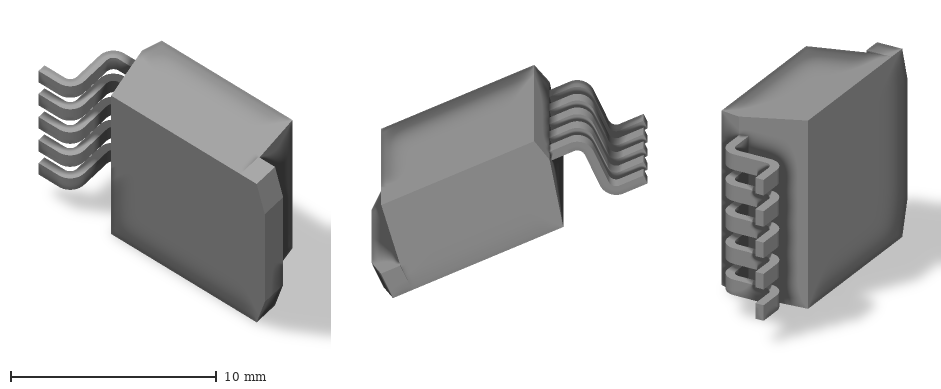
import cadquery as cq


total_length = 14.05
total_depth = 4.66
total_height = 10.21

lead_count = 5
lead_pitch = 1.7
lead_width = 0.85
lead_thickness = 0.46
bend_inner_radius = 0.41
bend_outer_radius = bend_inner_radius + lead_thickness
foot_length = 1.28
lead_top_y = 3.5

housing_front_y = 0.1
parting_x = 3.64
front_edge_x = 4.45
back_edge_x = 3.93
back_end_x = 12.1
housing_end_x = 12.52
back_height = 9.45

tab_thickness = 1.42
tab_back_y = housing_front_y + tab_thickness
pad_start_x = 6.35
pad_height = 7.65
neck_start_x = 10.99
neck_height = 6.48
tab_corner_x = 13.55
tab_end_height = neck_height


def make_tab():
    """Flat plate: a pad under the housing, a narrower neck and a wide end with cut corners."""
    upper_outline = [
        (pad_start_x, pad_height / 2),
        (neck_start_x, pad_height / 2),
        (neck_start_x, neck_height / 2),
        (housing_end_x, neck_height / 2),
        (housing_end_x, total_height / 2),
        (tab_corner_x, total_height / 2),
        (total_length, tab_end_height / 2),
    ]
    lower_outline = [(x, -z) for x, z in reversed(upper_outline)]
    return (
        cq.Workplane("XZ", origin=(0, housing_front_y, 0))
        .polyline(upper_outline + lower_outline)
        .close()
        .extrude(-tab_thickness)
    )


def make_housing_block():
    """Housing without the tab recess: a side profile with its two Z sides tapered."""
    side_profile = [
        (front_edge_x, housing_front_y),
        (housing_end_x, housing_front_y),
        (housing_end_x, tab_back_y),
        (back_end_x, total_depth),
        (back_edge_x, total_depth),
        (parting_x, lead_top_y),
    ]
    taper_profile = [
        (housing_front_y, -total_height / 2),
        (total_depth, -back_height / 2),
        (total_depth, back_height / 2),
        (housing_front_y, total_height / 2),
    ]
    block = cq.Workplane("XY").polyline(side_profile).close().extrude(total_height / 2, both=True)
    taper = cq.Workplane("YZ").polyline(taper_profile).close().extrude(total_length)
    return block.intersect(taper)


def make_lead(center_z):
    """Z-bent strip; its upper end runs up to the sloping wall of the housing."""
    riser_front_x = foot_length + bend_outer_radius
    riser_back_x = riser_front_x - lead_thickness
    upper_bend_x = riser_back_x + bend_outer_radius
    lower_bend_y = bend_outer_radius
    upper_bend_y = lead_top_y - bend_outer_radius

    strip = (
        cq.Workplane("XY", origin=(0, 0, center_z))
        .moveTo(0, 0)
        .lineTo(foot_length, 0)
        .radiusArc((riser_front_x, lower_bend_y), -bend_outer_radius)
        .lineTo(riser_front_x, upper_bend_y)
        .radiusArc((upper_bend_x, lead_top_y - lead_thickness), bend_inner_radius)
        .lineTo(front_edge_x, lead_top_y - lead_thickness)
        .lineTo(front_edge_x, lead_top_y)
        .lineTo(upper_bend_x, lead_top_y)
        .radiusArc((riser_back_x, upper_bend_y), -bend_outer_radius)
        .lineTo(riser_back_x, lower_bend_y)
        .radiusArc((foot_length, lead_thickness), bend_inner_radius)
        .lineTo(0, lead_thickness)
        .close()
        .extrude(lead_width / 2, both=True)
    )
    return strip.cut(housing_block)


tab = make_tab()
housing_block = make_housing_block()
housing = housing_block.cut(tab)

leads = []
for index in range(lead_count):
    lead_z = (index - (lead_count - 1) / 2) * lead_pitch
    leads.append(make_lead(lead_z))

result = cq.Compound.makeCompound([housing.val(), tab.val(), *[lead.val() for lead in leads]])